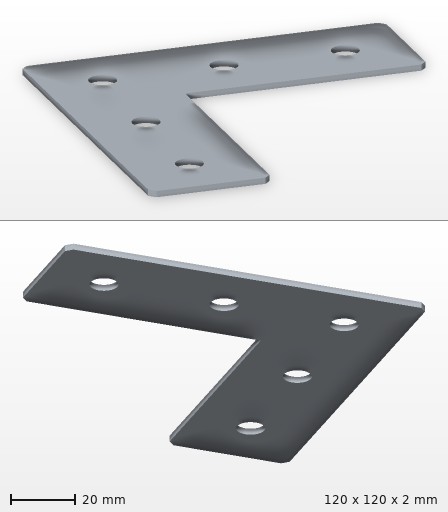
import cadquery as cq

side = 120.0
thickness = 2.0
hole_diameter = 9.0
corner_chamfer = 2.0

squares_per_side = 3
arm_width = side / squares_per_side

outline = [
    (0, 0),
    (side, 0),
    (side, arm_width),
    (arm_width, arm_width),
    (arm_width, side),
    (0, side),
]
plate = cq.Workplane("XY").polyline(outline).close().extrude(thickness)

outer_corners = [point for point in outline if point != (arm_width, arm_width)]
for x, y in outer_corners:
    corner_edge = cq.selectors.NearestToPointSelector((x, y, thickness / 2))
    plate = plate.edges("|Z").edges(corner_edge).chamfer(corner_chamfer)

centres = [(index + 0.5) * arm_width for index in range(squares_per_side)]
first = centres[0]
hole_points = [(x, first) for x in centres] + [(first, y) for y in centres[1:]]
holes = (
    cq.Workplane("XY")
    .pushPoints(hole_points)
    .circle(hole_diameter / 2)
    .extrude(thickness)
)

result = plate.cut(holes)